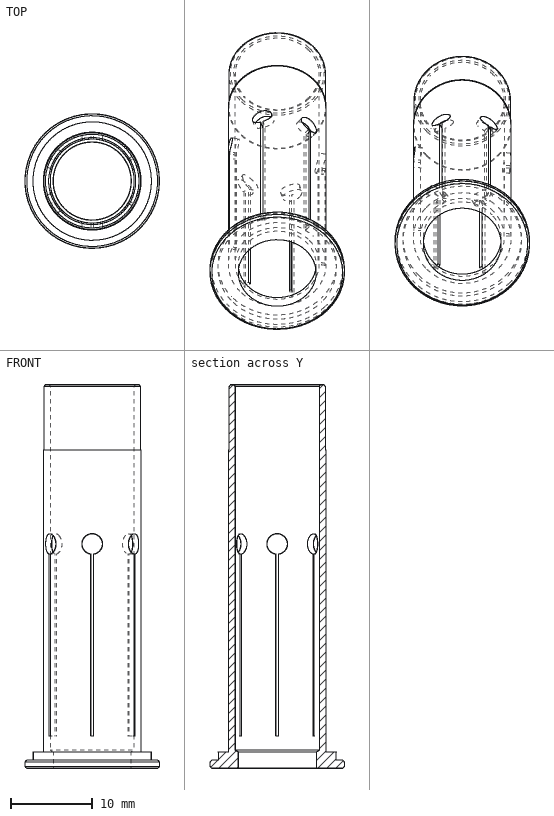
import cadquery as cq

total_height = 47.0
flange_height = 1.05
collar_top = 2.0
body_top = 39.0

flange_diameter = 16.5
collar_diameter = 14.5
body_diameter = 12.0
neck_diameter = 11.85

foot_bore_diameter = 9.55
main_bore_diameter = 10.3
bore_cone_start = 2.0
bore_cone_height = 0.215

flange_chamfer = 0.25
rim_chamfer = 0.2

slot_count = 6
hole_diameter = 2.5
hole_height = 27.5
slot_width = 0.3
slot_bottom = 4.0


def cylinder(diameter, bottom, top):
    return cq.Workplane("XY").workplane(offset=bottom).circle(diameter / 2).extrude(top - bottom)


def make_outside():
    """Flange, collar, body and neck stacked on the Z axis."""
    flange = cylinder(flange_diameter, 0, flange_height).edges().chamfer(flange_chamfer)
    collar = cylinder(collar_diameter, 0, collar_top)
    body = cylinder(body_diameter, 0, body_top)
    neck = cylinder(neck_diameter, 0, total_height).faces(">Z").edges().chamfer(rim_chamfer)
    return flange.union(collar).union(body).union(neck)


def make_bore():
    """Revolved through bore with a conical step and a chamfered mouth."""
    foot_radius = foot_bore_diameter / 2
    main_radius = main_bore_diameter / 2
    return (
        cq.Workplane("XZ")
        .lineTo(foot_radius, 0)
        .lineTo(foot_radius, bore_cone_start)
        .lineTo(main_radius, bore_cone_start + bore_cone_height)
        .lineTo(main_radius, total_height - rim_chamfer)
        .lineTo(main_radius + rim_chamfer, total_height)
        .lineTo(0, total_height)
        .close()
        .revolve(360, (0, 0, 0), (0, 1, 0))
    )


def make_keyhole(angle):
    """Radial hole and slot through one side of the wall, turned about Z from the -Y side."""
    reach = body_diameter
    hole = cq.Workplane("XZ").center(0, hole_height).circle(hole_diameter / 2).extrude(reach)
    slot_length = hole_height - slot_bottom
    slot_middle = slot_bottom + slot_length / 2
    slot = cq.Workplane("XZ").center(0, slot_middle).rect(slot_width, slot_length).extrude(reach)
    return hole.union(slot).rotate((0, 0, 0), (0, 0, 1), angle)


result = make_outside().cut(make_bore())
for index in range(slot_count):
    result = result.cut(make_keyhole(index * 360 / slot_count))